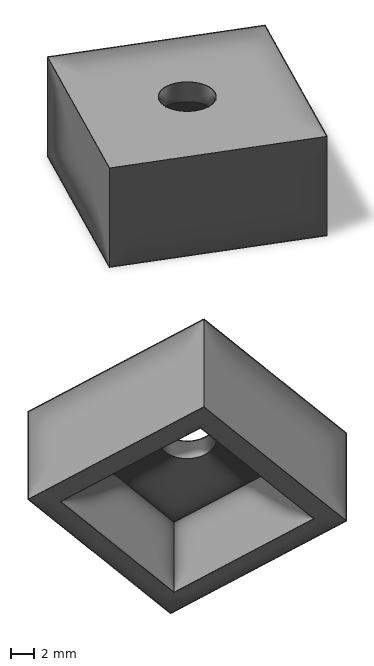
import cadquery as cq

side = 19.6
height = 10.0
hole_diameter = 5.0
wall = 2.0

cavity_side = side - 2 * wall
cavity_height = height - wall

block = cq.Workplane("XY").box(side, side, height, centered=(True, True, False))

cavity = cq.Workplane("XY").box(cavity_side, cavity_side, cavity_height, centered=(True, True, False))

hole = cq.Workplane("XY").circle(hole_diameter / 2).extrude(height)

result = block.cut(cavity).cut(hole)